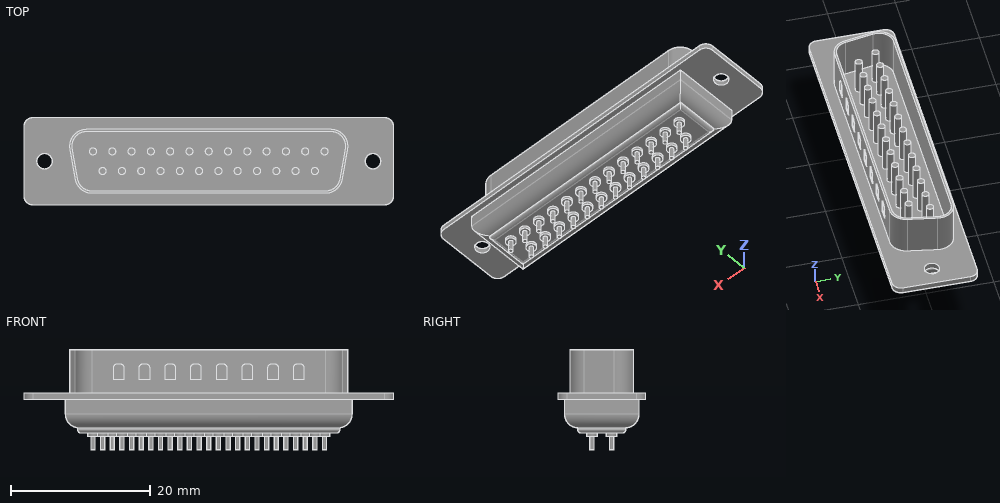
import cadquery as cq
import math

flange_length = 53.05
flange_width = 12.55
flange_thickness = 0.95
flange_corner_radius = 1.3
mount_hole_diameter = 2.2
mount_hole_spacing = 47.1

shell_length = 39.9
shell_width = 9.2
shell_height = 6.2
shell_corner_radius = 2.45
shell_wall = 0.3
shell_side_angle = 10.0

dimple_count = 8
dimple_row_span = 25.85
dimple_width = 1.55
dimple_height = 2.25
dimple_corner_radius = 0.55
dimple_depth = 0.15
dimple_base_z = 1.9

body_length = 41.15
body_width = 10.7
body_straight_height = 2.05
body_round_radius = 2.0
step_length = 37.65
step_width = 6.95
step_drop = 0.75
step_round_radius = 0.55

long_row_count = 13
long_row_span = 33.2
row_spacing = 2.8
pin_diameter = 1.0
pin_height = 5.45
collar_diameter = 1.55
collar_height = 0.5
tail_diameter = 0.65
overall_height = 14.4

contact_pitch = long_row_span / (long_row_count - 1)
dimple_pitch = dimple_row_span / (dimple_count - 1)
body_height = body_straight_height + body_round_radius
body_top_z = -flange_thickness
body_bottom_z = body_top_z - body_height
step_bottom_z = body_bottom_z - step_drop
tail_bottom_z = shell_height - overall_height


def rounded_block(length, width, height, top_z, round_radius):
    """A block hanging down from top_z, rounded along its bottom edges."""
    block = cq.Workplane("XY").workplane(offset=top_z - height).rect(length, width).extrude(height)
    return block.faces("<Z").edges().fillet(round_radius)


def d_prism(inset):
    """A D-shaped prism, set in evenly from the outside of the shell."""
    slope = math.radians(shell_side_angle)
    half_width = shell_width / 2 - inset
    corner_radius = shell_corner_radius - inset
    corner_center_x = shell_length / 2 - shell_corner_radius
    long_half = corner_center_x + corner_radius * math.tan(math.pi / 4 + slope / 2)
    short_half = long_half - 2 * half_width * math.tan(slope)
    corners = [
        (-long_half, half_width),
        (long_half, half_width),
        (short_half, -half_width),
        (-short_half, -half_width),
    ]
    prism = cq.Workplane("XY").polyline(corners).close().extrude(shell_height)
    return prism.edges("|Z").fillet(corner_radius)


def row_points(count, y):
    """Contact places of one row, centred on X."""
    return [((i - (count - 1) / 2) * contact_pitch, y) for i in range(count)]


def cylinders(points, diameter, bottom_z, top_z):
    """Upright cylinders at the given places."""
    plane = cq.Workplane("XY").workplane(offset=bottom_z)
    return plane.pushPoints(points).circle(diameter / 2).extrude(top_z - bottom_z)


def dimples():
    """Cutters for the row of dimples, each with a rounded top."""
    shape = (
        cq.Workplane("XY")
        .box(dimple_width, 2 * dimple_depth, dimple_height, centered=(True, True, False))
        .faces(">Z")
        .edges("|Y")
        .fillet(dimple_corner_radius)
    )
    cutters = cq.Workplane("XY")
    for i in range(dimple_count):
        x = (i - (dimple_count - 1) / 2) * dimple_pitch
        cutters = cutters.add(shape.translate((x, -shell_width / 2, dimple_base_z)))
    return cutters.combine()


flange = (
    cq.Workplane("XY")
    .workplane(offset=-flange_thickness)
    .rect(flange_length, flange_width)
    .extrude(flange_thickness)
    .edges("|Z")
    .fillet(flange_corner_radius)
    .faces(">Z")
    .workplane()
    .pushPoints([(-mount_hole_spacing / 2, 0), (mount_hole_spacing / 2, 0)])
    .hole(mount_hole_diameter)
)
shell = d_prism(0).cut(d_prism(shell_wall)).cut(dimples())
body = rounded_block(body_length, body_width, body_height, body_top_z, body_round_radius)
step = rounded_block(step_length, step_width, body_height + step_drop, body_top_z, step_round_radius)

contacts = row_points(long_row_count, row_spacing / 2) + row_points(long_row_count - 1, -row_spacing / 2)
pins = cylinders(contacts, pin_diameter, 0, pin_height)
collars = cylinders(contacts, collar_diameter, step_bottom_z - collar_height, step_bottom_z)
tails = cylinders(contacts, tail_diameter, tail_bottom_z, step_bottom_z)

result = flange.union(shell).union(body).union(step).union(pins).union(collars).union(tails)